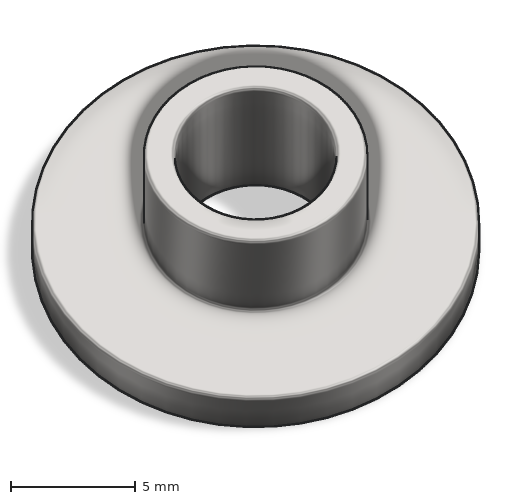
import cadquery as cq

flange_diameter = 18.0
flange_thickness = 2.0
sleeve_diameter = flange_diameter / 2
total_height = 6.5
bore_diameter = 6.5
edge_radius = 0.2


def make_blank():
    """Flange and sleeve with a through bore, all edges sharp."""
    flange = cq.Workplane("XY").circle(flange_diameter / 2).extrude(flange_thickness)
    sleeve = cq.Workplane("XY").circle(sleeve_diameter / 2).extrude(total_height)
    bore = cq.Workplane("XY").circle(bore_diameter / 2).extrude(total_height)
    return flange.union(sleeve).cut(bore)


result = make_blank().edges("%CIRCLE").fillet(edge_radius)